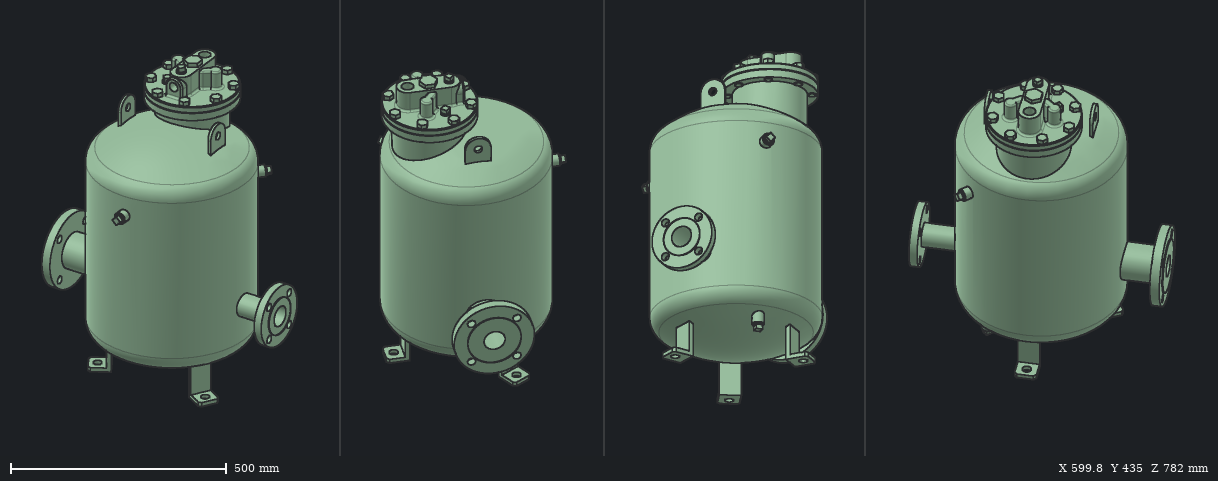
import cadquery as cq
import math

shell_radius = 200.0
shell_bottom = 138.5
shell_top = 550.0
knuckle_height = 37.5
crown_edge_radius = 179.0
top_apex = 650.0
bottom_apex = 51.0

nozzle_z = 230.0
nozzle_end = 299.9
nozzle_bore = 50.0
raised_face_height = 2.0
flange_hole_diameter = 19.0

neck_y = 87.0
neck_diameter = 174.0
joint_diameter = 224.0
flange_bottom = 679.0
flange_top = 697.5
gasket_thickness = 2.0
cover_bottom = flange_top + gasket_thickness
cover_top = 715.0
cover_edge_chamfer = 2.0
bolt_count = 8
bolt_circle_radius = 98.0
bolt_shank_diameter = 19.0
bolt_head_diameter = 26.5
bolt_head_height = 11.0
bolt_end_length = 2.0

plug_neck_diameter = 23.0
plug_neck_length = 4.0
plug_head_side = 16.0
plug_head_height = 11.0
sleeve_diameter = 29.0
side_sleeve_end = 220.0
side_plug_z = 500.0
side_plug_angles = (-90, 45)
drain_xy = 105.5
drain_sleeve_end = 65.0

leg_angles = (90, 210, 330)
leg_width = 52.0
leg_thickness = 11.0
leg_outer_face = 150.0
leg_top = 86.0
foot_end = 194.0
foot_hole_diameter = 20.0
foot_corner_chamfer = 6.0

lug_x = 124.0
lug_thickness = 8.0
lug_radius = 30.5
lug_hole_z = 655.0
lug_hole_diameter = 19.0
lug_bottom = 614.0

arm_radius = 26.0
arm_center_y = 90.0
arm_port_spacing = 49.0
arm_top = 767.0
arm_port_diameter = 28.0
arm_port_depth = 31.0
cast_fillet = 5.5
casting_reach = 86.0

port_radius = 23.0
port_z = 742.0
port_face_y = 8.0
port_chamfer = 4.0
port_bore = 23.0
port_bore_depth = 23.5

lobe_radius = 15.0
lobe_x = 52.0
lobe_y = 105.5
link_radius = 10.0
link_end_x = 28.0
link_end_y = 87.0
lobe_top = 760.0
lobe_top_fillet = 4.0

vent_x = -52.5
vent_y = 61.0
hex_plug_flats = 37.5
hex_plug_height = 10.0
hex_plug_shank_diameter = 28.0
hex_plug_shank_length = 16.0


def cylinder_z(x, y, bottom, top, diameter):
    """Upright round bar."""
    return cq.Workplane("XY", origin=(x, y, bottom)).circle(diameter / 2).extrude(top - bottom)


def square_plug(base):
    """Round neck with a square head, standing on the origin of the workplane."""
    neck = cq.Workplane(base).circle(plug_neck_diameter / 2).extrude(plug_neck_length)
    head = (
        cq.Workplane(base)
        .workplane(offset=plug_neck_length)
        .transformed(rotate=(0, 0, 45))
        .rect(plug_head_side, plug_head_side)
        .extrude(plug_head_height)
    )
    return neck.union(head)


def bolt_points():
    """Centres of the cover bolts with the angle of each."""
    step = 360 / bolt_count
    points = []
    for index in range(bolt_count):
        angle = (index + 0.5) * step
        x = bolt_circle_radius * math.cos(math.radians(angle))
        y = neck_y + bolt_circle_radius * math.sin(math.radians(angle))
        points.append((x, y, angle))
    return points


def cut_bolt_holes(body):
    """Clear the bolt shanks through a joint ring."""
    for x, y, _ in bolt_points():
        body = body.cut(cylinder_z(x, y, flange_bottom, cover_bottom, bolt_shank_diameter))
    return body


def crown_radius(rise):
    """Radius of a spherical crown of the given rise over the crown edge."""
    return (crown_edge_radius**2 + rise**2) / (2 * rise)


def crown_middle(edge_z, apex_z):
    """Point of the crown profile halfway between its axis and its edge."""
    rise = abs(apex_z - edge_z)
    radius = crown_radius(rise)
    half = crown_edge_radius / 2
    drop = radius - math.sqrt(radius**2 - half**2)
    return half, apex_z - math.copysign(drop, apex_z - edge_z)


def knuckle_middle():
    """Middle point of the lower knuckle arc, which is tangent to the shell wall."""
    inset = shell_radius - crown_edge_radius
    radius = (inset**2 + knuckle_height**2) / (2 * inset)
    half_angle = math.atan2(inset, knuckle_height)
    x = shell_radius - radius * (1 - math.cos(half_angle))
    return x, shell_bottom - radius * math.sin(half_angle)


def make_shell():
    """Closed shell with a domed head at each end."""
    top_edge = shell_top + knuckle_height
    bottom_edge = shell_bottom - knuckle_height
    return (
        cq.Workplane("XZ")
        .moveTo(shell_radius, shell_bottom)
        .lineTo(shell_radius, shell_top)
        .tangentArcPoint((crown_edge_radius, top_edge), relative=False)
        .threePointArc(crown_middle(top_edge, top_apex), (0, top_apex))
        .lineTo(0, bottom_apex)
        .threePointArc(crown_middle(bottom_edge, bottom_apex), (crown_edge_radius, bottom_edge))
        .threePointArc(knuckle_middle(), (shell_radius, shell_bottom))
        .close()
        .revolve(360, (0, 0, 0), (0, 1, 0))
    )


def make_nozzle(side, pipe, flange, face, bolt_circle, thickness):
    """Flanged pipe pointing along X and its blind bore; side is -1 or +1."""
    flange_face = nozzle_end - raised_face_height

    def bar(start, end, diameter):
        base = cq.Plane(origin=(side * start, 0, nozzle_z), xDir=(0, 1, 0), normal=(side, 0, 0))
        return cq.Workplane(base).circle(diameter / 2).extrude(end - start)

    body = bar(shell_radius / 2, flange_face, pipe)
    body = body.union(bar(flange_face - thickness, flange_face, flange))
    hole = bar(flange_face - thickness, flange_face, flange_hole_diameter)
    hole = hole.translate((0, bolt_circle / 2, 0))
    for angle in (45, 135, 225, 315):
        body = body.cut(hole.rotate((0, 0, nozzle_z), (1, 0, nozzle_z), angle))
    body = body.union(bar(flange_face, nozzle_end, face))
    return body, bar(shell_radius, nozzle_end, nozzle_bore)


def make_leg(angle):
    """L-shaped leg with a drilled foot pointing outwards."""
    inner_face = leg_outer_face - leg_thickness
    upright = cq.Workplane("XY").box(leg_thickness, leg_width, leg_top, centered=(False, True, False))
    upright = upright.translate((inner_face, 0, 0))
    foot = (
        cq.Workplane("XY", origin=(inner_face, 0, 0))
        .box(foot_end - inner_face, leg_width, leg_thickness, centered=(False, True, False))
        .edges("|Z and >X")
        .chamfer(foot_corner_chamfer)
    )
    hole_x = (leg_outer_face + foot_end) / 2
    foot = foot.cut(cylinder_z(hole_x, 0, 0, leg_thickness, foot_hole_diameter))
    return upright.union(foot).rotate((0, 0, 0), (0, 0, 1), angle)


def make_lug(side):
    """Round-topped lifting plate with an eye."""
    return (
        cq.Workplane("YZ", origin=(side * lug_x - lug_thickness / 2, 0, 0))
        .moveTo(-lug_radius, lug_bottom)
        .lineTo(lug_radius, lug_bottom)
        .lineTo(lug_radius, lug_hole_z)
        .threePointArc((0, lug_hole_z + lug_radius), (-lug_radius, lug_hole_z))
        .close()
        .moveTo(0, lug_hole_z)
        .circle(lug_hole_diameter / 2)
        .extrude(lug_thickness)
    )


def make_side_fitting(angle):
    """Radial sleeve on the shell wall, closed by a square plug."""
    direction = (math.cos(math.radians(angle)), math.sin(math.radians(angle)), 0)

    def base(radius):
        origin = (radius * direction[0], radius * direction[1], side_plug_z)
        return cq.Plane(origin=origin, xDir=(0, 0, 1), normal=direction)

    sleeve_start = shell_radius - sleeve_diameter
    sleeve = cq.Workplane(base(sleeve_start)).circle(sleeve_diameter / 2)
    return sleeve.extrude(side_sleeve_end - sleeve_start).union(square_plug(base(side_sleeve_end)))


def make_drain():
    """Downward sleeve under the lower head, closed by a square plug."""
    base = cq.Plane(origin=(drain_xy, drain_xy, drain_sleeve_end), xDir=(1, 0, 0), normal=(0, 0, -1))
    sleeve = cylinder_z(drain_xy, drain_xy, drain_sleeve_end, shell_bottom, sleeve_diameter)
    return sleeve.union(square_plug(base))


def make_vessel():
    """Shell with its neck, flanged pipes, legs, lugs and plugged fittings."""
    vessel = make_shell()
    vessel = vessel.union(cylinder_z(0, neck_y, shell_top, flange_top, neck_diameter))
    vessel = vessel.union(cut_bolt_holes(cylinder_z(0, neck_y, flange_bottom, flange_top, joint_diameter)))
    large, large_bore = make_nozzle(-1, pipe=90.0, flange=191.0, face=127.0, bolt_circle=152.5, thickness=23.0)
    small, small_bore = make_nozzle(1, pipe=57.0, flange=152.5, face=92.0, bolt_circle=120.0, thickness=19.5)
    vessel = vessel.union(large).union(small).cut(large_bore).cut(small_bore)
    for angle in leg_angles:
        vessel = vessel.union(make_leg(angle))
    for side in (-1, 1):
        vessel = vessel.union(make_lug(side))
    for angle in side_plug_angles:
        vessel = vessel.union(make_side_fitting(angle))
    return vessel.union(make_drain())


def make_gasket():
    """Thin ring-shaped disc between the neck flange and the cover."""
    return cut_bolt_holes(cylinder_z(0, neck_y, flange_top, cover_bottom, joint_diameter))


def make_arm():
    """Long round-ended housing across the cover."""
    return (
        cq.Workplane("XY", origin=(0, arm_center_y, cover_top))
        .slot2D(2 * (arm_port_spacing + arm_radius), 2 * arm_radius, 90)
        .extrude(arm_top - cover_top)
    )


def make_port_block():
    """Round-topped block with a chamfered face, ahead of the arm."""
    return (
        cq.Workplane("XZ", origin=(0, port_face_y, 0))
        .moveTo(-port_radius, cover_top)
        .lineTo(-port_radius, port_z)
        .threePointArc((0, port_z + port_radius), (port_radius, port_z))
        .lineTo(port_radius, cover_top)
        .close()
        .extrude(port_face_y - arm_center_y + arm_port_spacing)
        .faces("<Y")
        .edges("not(<Z)")
        .chamfer(port_chamfer)
    )


def make_lobe(side):
    """Round lobe beside the arm, tied to it by a narrower link."""
    height = lobe_top - cover_top
    run_x = lobe_x - link_end_x
    run_y = lobe_y - link_end_y
    length = math.hypot(run_x, run_y) + 2 * link_radius
    angle = math.degrees(math.atan2(run_y, run_x))
    link = (
        cq.Workplane("XY", origin=((lobe_x + link_end_x) / 2, (lobe_y + link_end_y) / 2, cover_top))
        .slot2D(length, 2 * link_radius, angle)
        .extrude(height)
    )
    lobe = cylinder_z(lobe_x, lobe_y, cover_top, lobe_top, 2 * lobe_radius).union(link)
    lobe = lobe.faces(">Z").edges().fillet(lobe_top_fillet)
    return lobe if side > 0 else lobe.mirror("YZ")


def make_bolt(x, y, angle):
    """Cover bolt: hexagon head above, shank through the joint."""
    shank = cylinder_z(x, y, flange_bottom - bolt_end_length, cover_top, bolt_shank_diameter)
    head = (
        cq.Workplane("XY", origin=(x, y, cover_top))
        .transformed(rotate=(0, 0, angle))
        .polygon(6, bolt_head_diameter)
        .extrude(bolt_head_height)
    )
    return shank.union(head)


def cover_face_edges(reach):
    """Selects edges at the cover face that are centred within reach of the cover axis."""
    height = cast_fillet / 2
    return cq.selectors.BoxSelector(
        (-reach, neck_y - reach, cover_top - height),
        (reach, neck_y + reach, cover_top + height),
    )


def make_cover():
    """Bolted cover with the valve arm cast on it."""
    cover = cylinder_z(0, neck_y, cover_bottom, cover_top, joint_diameter)
    cover = cover.faces(">Z").edges().chamfer(cover_edge_chamfer)
    castings = make_arm().union(make_port_block())
    for side in (-1, 1):
        castings = castings.union(make_lobe(side))
    cover = cover.union(castings)

    top_port_y = arm_center_y + arm_port_spacing
    cover = cover.cut(cylinder_z(0, top_port_y, arm_top - arm_port_depth, arm_top, arm_port_diameter))
    side_port = cq.Workplane("XZ", origin=(0, port_face_y, port_z)).circle(port_bore / 2)
    cover = cover.cut(side_port.extrude(-port_bore_depth))
    cover = cover.cut(make_hex_shank())

    seat = cover_face_edges(casting_reach)
    rim = cover_face_edges(cast_fillet)
    cover = cover.edges(seat - rim).fillet(cast_fillet)

    arm_plug_y = arm_center_y - arm_port_spacing
    for x, y, z in ((0, arm_plug_y, arm_top), (vent_x, vent_y, cover_top)):
        cover = cover.union(square_plug(cq.Plane(origin=(x, y, z))))
    for x, y, angle in bolt_points():
        cover = cover.union(make_bolt(x, y, angle))
    return cover


def make_hex_shank():
    """Round shank of the hexagon plug, sunk into the arm."""
    return cylinder_z(0, arm_center_y, arm_top - hex_plug_shank_length, arm_top, hex_plug_shank_diameter)


def make_hex_plug():
    """Hexagon-headed plug in the middle of the arm, with two corners along Y."""
    head = (
        cq.Workplane("XY", origin=(0, arm_center_y, arm_top))
        .transformed(rotate=(0, 0, 90))
        .polygon(6, hex_plug_flats / math.cos(math.pi / 6))
        .extrude(hex_plug_height)
    )
    return head.union(make_hex_shank())


vessel = make_vessel()
gasket = make_gasket()
cover = make_cover()
hex_plug = make_hex_plug()
result = cq.Compound.makeCompound([vessel.val(), gasket.val(), cover.val(), hex_plug.val()])